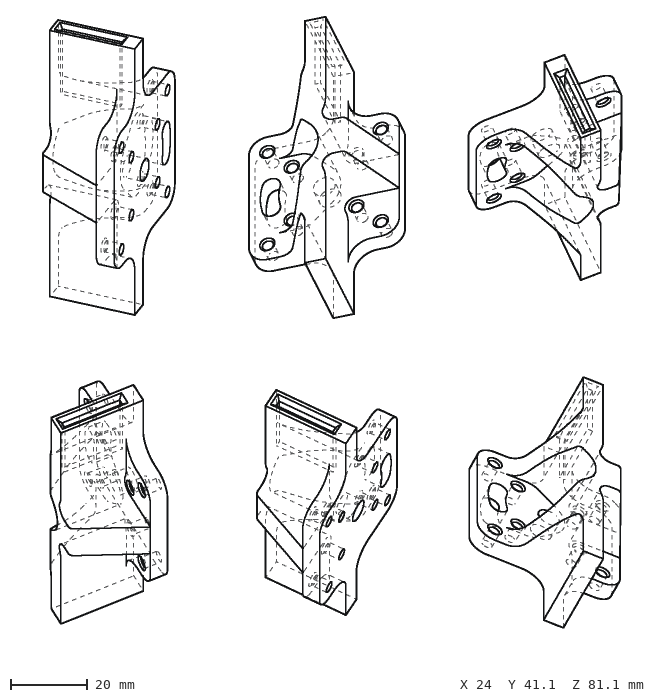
import cadquery as cq
import math

part_depth = 24.0
plate_size = 41.11
plate_thickness = 5.0
plate_corner_radius = 5.1
bar_overhang = 20.0
half_plate = plate_size / 2
half_length = half_plate + bar_overhang
plate_face = part_depth - plate_thickness

bar_thickness = 5.7
bar_top_y = -0.9
bar_bottom_y = bar_top_y - bar_thickness
flare_radius = 6.4

flank_angle = 25.0
slope = math.tan(math.radians(flank_angle))
nose_radius = 1.5
flank_fillet = 5.0
nose_top_y = bar_top_y + nose_radius * math.tan(math.radians(90.0 - flank_angle) / 2)
nose_bottom_y = -half_plate + plate_face * slope

pivot_diameter = 6.0
screw_diameter = 3.0
screw_chamfer = 0.55
outer_screw_pitch = 31.0
inner_screw_circle_radius = 12.5
inner_screw_offset = inner_screw_circle_radius / math.sqrt(2)
slot_path_radius = 14.9
slot_width = 5.0
slot_half_angle = math.radians(14.5)

recess_half_height = 12.46
recess_end_radius = 8.4
recess_end_y = -4.53
recess_side_fillet = 5.0

pocket_radius = 3.15
pocket_blend_radius = 10.0

end_slot_wall = 1.0
end_slot_length = 19.0
end_slot_lead_in = 1.1
end_slot_depth = bar_overhang

pick_margin = 0.1


def polar(center, radius, angle):
    """Point at the given radius and angle (radians) about a center."""
    return (center[0] + radius * math.cos(angle), center[1] + radius * math.sin(angle))


def along_x(x_start):
    """Sketch plane whose local axes are Y and Z, extruding toward +X."""
    return cq.Workplane("YZ", origin=(x_start, 0, 0))


def box(y_range, z_range):
    """Block through the full depth over the given Y and Z ranges."""
    return cq.Workplane("XY").box(
        part_depth, y_range[1] - y_range[0], z_range[1] - z_range[0], centered=False
    ).translate((0, y_range[0], z_range[0]))


def make_silhouette():
    """Square plate crossed by the bar, with flares in the four inner corners."""
    plate = box((-half_plate, half_plate), (-half_plate, half_plate))
    plate = plate.edges("|X").fillet(plate_corner_radius)
    cross = plate.union(box((bar_bottom_y, bar_top_y), (-half_length, half_length)))
    inner_corners = cq.selectors.BoxSelector(
        (-pick_margin, bar_bottom_y - pick_margin, -half_plate - pick_margin),
        (part_depth + pick_margin, bar_top_y + pick_margin, half_plate + pick_margin),
    )
    return cross.edges("|X").edges(inner_corners).fillet(flare_radius)


def make_flank_profile():
    """Tapered cross section in X and Y, extruded over the full length."""
    profile = (
        cq.Workplane("XY", origin=(0, 0, -half_length))
        .moveTo(0, nose_bottom_y)
        .lineTo(plate_face, -half_plate)
        .lineTo(part_depth, -half_plate)
        .lineTo(part_depth, half_plate)
        .lineTo(plate_face, half_plate)
        .lineTo(plate_face, nose_top_y + plate_face * slope)
        .lineTo(0, nose_top_y)
        .close()
        .extrude(2 * half_length)
    )
    profile = profile.edges("|Z and <X").fillet(nose_radius)
    flank_foot = cq.selectors.BoxSelector(
        (plate_face - pick_margin, 0, -half_length),
        (plate_face + pick_margin, half_plate - pick_margin, half_length),
    )
    return profile.edges("|Z").edges(flank_foot).fillet(flank_fillet)


def make_pivot_recess():
    """Flat clearance around the pivot: round end, 45 degree sides, parallel mouth."""
    diagonal = math.radians(45.0)
    end_center = (recess_end_y + recess_end_radius, 0)
    end_tangent = polar(end_center, recess_end_radius, math.pi - diagonal)
    corner_y = end_tangent[0] + recess_half_height - end_tangent[1]
    trim = recess_side_fillet * math.tan(diagonal / 2)
    arc_center = (corner_y + trim, recess_half_height - recess_side_fillet)
    diagonal_end = polar(arc_center, recess_side_fillet, math.pi - diagonal)
    arc_middle = polar(arc_center, recess_side_fillet, math.pi / 2 + diagonal / 2)
    return (
        along_x(0)
        .moveTo(half_plate, -recess_half_height)
        .lineTo(arc_center[0], -recess_half_height)
        .threePointArc((arc_middle[0], -arc_middle[1]), (diagonal_end[0], -diagonal_end[1]))
        .lineTo(end_tangent[0], -end_tangent[1])
        .threePointArc((recess_end_y, 0), end_tangent)
        .lineTo(*diagonal_end)
        .threePointArc(arc_middle, (arc_center[0], recess_half_height))
        .lineTo(half_plate, recess_half_height)
        .close()
        .extrude(plate_face)
    )


def make_side_pocket():
    """Space above the lower rib, rounded about the inner screw and blended into the bar."""
    screw = (-inner_screw_offset, inner_screw_offset)
    blend_y = bar_bottom_y + pocket_blend_radius
    center_distance = pocket_radius + pocket_blend_radius
    blend_angle = math.acos((blend_y - screw[0]) / center_distance)
    blend_center = polar(screw, center_distance, blend_angle)
    floor_z = screw[1] - pocket_radius
    return (
        along_x(0)
        .moveTo(-half_plate, floor_z)
        .lineTo(screw[0], floor_z)
        .threePointArc(
            polar(screw, pocket_radius, (blend_angle - math.pi / 2) / 2),
            polar(screw, pocket_radius, blend_angle),
        )
        .threePointArc(
            polar(blend_center, pocket_blend_radius, math.pi + blend_angle / 2),
            (bar_bottom_y, blend_center[1]),
        )
        .lineTo(bar_bottom_y, half_length)
        .lineTo(-half_plate, half_length)
        .close()
        .extrude(plate_face)
    )


def make_screw_holes():
    """Chamfered through holes: a square of four outer and a square of four inner ones."""
    radius = screw_diameter / 2
    holes = cq.Workplane("XY")
    for offset in (outer_screw_pitch / 2, inner_screw_offset):
        for corner in [(y, z) for y in (-offset, offset) for z in (-offset, offset)]:
            hole = along_x(plate_face).center(*corner).circle(radius).extrude(plate_thickness)
            lead_in = (
                along_x(plate_face)
                .center(*corner)
                .circle(radius + screw_chamfer)
                .workplane(offset=screw_chamfer)
                .circle(radius)
                .loft()
            )
            holes = holes.add(hole.union(lead_in))
    return holes.combine()


def make_arc_slot():
    """Slot through the plate, curved about the pivot axis."""
    origin = (0, 0)
    half_width = slot_width / 2
    inner_radius = slot_path_radius - half_width
    outer_radius = slot_path_radius + half_width
    angle = slot_half_angle
    tip_angle = angle + math.pi / 2
    upper_cap = polar(polar(origin, slot_path_radius, angle), half_width, tip_angle)
    return (
        along_x(0)
        .moveTo(*polar(origin, outer_radius, -angle))
        .threePointArc((outer_radius, 0), polar(origin, outer_radius, angle))
        .threePointArc(upper_cap, polar(origin, inner_radius, angle))
        .threePointArc((inner_radius, 0), polar(origin, inner_radius, -angle))
        .threePointArc((upper_cap[0], -upper_cap[1]), polar(origin, outer_radius, -angle))
        .close()
        .extrude(part_depth)
    )


def make_end_slot():
    """Narrow blind slot in the upper end of the bar with a 45 degree lead-in."""
    mouth_width = bar_thickness - 2 * end_slot_wall
    throat_length = end_slot_length - 2 * end_slot_lead_in
    throat_width = mouth_width - 2 * end_slot_lead_in
    center = (end_slot_wall + end_slot_length / 2, (bar_top_y + bar_bottom_y) / 2, half_length)
    top = cq.Workplane("XY", origin=center)
    throat = top.rect(throat_length, throat_width).extrude(-end_slot_depth)
    lead_in = (
        top.rect(end_slot_length, mouth_width)
        .workplane(offset=-end_slot_lead_in)
        .rect(throat_length, throat_width)
        .loft()
    )
    return throat.union(lead_in)


side_pocket = make_side_pocket()
pivot_hole = along_x(0).circle(pivot_diameter / 2).extrude(part_depth)

result = (
    make_silhouette()
    .intersect(make_flank_profile())
    .cut(make_pivot_recess())
    .cut(side_pocket)
    .cut(side_pocket.mirror("XY"))
    .cut(pivot_hole)
    .cut(make_screw_holes())
    .cut(make_arc_slot())
    .cut(make_end_slot())
)